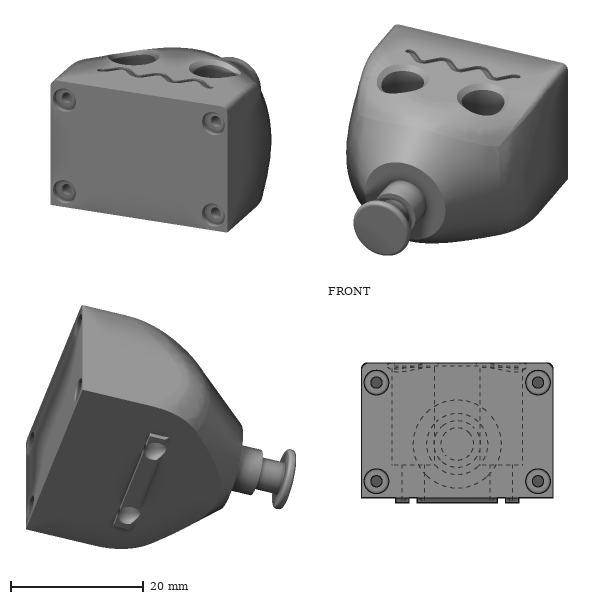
import cadquery as cq
import math

width = 29.0
height = 20.45
overall_length = 37.05
cover_thickness = 1.63
nose_y = 27.85
edge_radius = 1.0

axis_z = 8.15
nose_radius = 6.67
nose_flare = 0.843
shoulder_radius = 8.0
edge_rounding_end_y = 18.52

eye_x = 6.67
eye_y = 13.9
eye_hole_diameter = 3.4
eye_bore_diameter = 6.5
eye_bore_floor = 5.0
eye_rim = 0.75

groove_y = 7.4
groove_width = 1.0
groove_depth = 0.52
wave_length = 6.0
wave_height = 2.0
wave_count = 3
wave_slope = math.radians(45)

key_width = 18.67
key_height = 0.75
key_back_y = 12.3
key_front_y = 15.35
key_bevel = 0.7

screw_x = 12.23
screw_low_z = 2.52
screw_high_z = 17.45
screw_hole_diameter = 1.7
screw_head_diameter = 3.75
screw_head_depth = 1.0
screw_hole_end_y = 7.4

screw_places = [(x, z) for x in (-screw_x, screw_x) for z in (screw_low_z, screw_high_z)]

sleeve_diameter = 7.08
sleeve_end_y = 31.97
stem_diameter = 4.93
flange_diameter = 9.25
flange_thickness = 1.22
flange_rounding = 0.5
neck_rounding = 0.2

tolerance = 0.005


def rod(diameter, start_y, end_y, x=0.0, z=axis_z):
    """Cylinder along Y."""
    start = cq.Vector(x, start_y, z)
    cylinder = cq.Solid.makeCylinder(diameter / 2, end_y - start_y, start, cq.Vector(0, 1, 0))
    return cq.Workplane(cylinder)


def block(start_y, end_y):
    """Slice of the plain housing block, spanning the full width and height."""
    slab = cq.Workplane().box(width, end_y - start_y, height, centered=(True, False, False))
    return slab.translate((0, start_y, 0))


def longitudinal_top_edges(body):
    """The two edges between the top and the sides, starting from the rear end of the body."""
    rear_y = body.val().BoundingBox().ymin
    found = []
    for edge in body.edges().vals():
        box = edge.BoundingBox()
        at_rear = abs(box.ymin - rear_y) < tolerance
        if at_rear and box.ylen > tolerance and box.zmin > height / 2:
            found.append(edge)
    return body.newObject(found)


def make_shoulders():
    """Block cut to the nose cone, with large roundings where the cone meets the top and the sides."""
    length = nose_y - cover_thickness
    base_radius = nose_radius + nose_flare * length
    cone = cq.Solid.makeCone(
        base_radius, nose_radius, length, cq.Vector(0, cover_thickness, axis_z), cq.Vector(0, 1, 0)
    )
    seam_below = cone.rotate(cq.Vector(0, 0, axis_z), cq.Vector(0, 0.37, axis_z), 180)
    body = block(cover_thickness, nose_y).intersect(cq.Workplane(seam_below))
    curved_edges = body.edges("%HYPERBOLA").vals()
    above_floor = [edge for edge in curved_edges if edge.BoundingBox().zmax > tolerance]
    return body.newObject(above_floor).fillet(shoulder_radius)


def round_top_edges(body):
    """Round the top side edges up to where the two shoulders become tangent and the edge fades out."""
    rear = body.intersect(block(cover_thickness, edge_rounding_end_y))
    front = body.intersect(block(edge_rounding_end_y, nose_y))
    return front.union(longitudinal_top_edges(rear).fillet(edge_radius))


def wave_centerline():
    """Zigzag of straight flanks joined by tangent arcs, starting and ending in a trough."""
    half_wave = wave_length / 2
    sine = math.sin(wave_slope)
    cosine = math.cos(wave_slope)
    bend_radius = (half_wave * sine - wave_height * cosine) / (2 * (1 - cosine))
    arc_x = bend_radius * sine
    arc_y = bend_radius * (1 - cosine)
    mid_x = bend_radius * math.sin(wave_slope / 2)
    mid_y = bend_radius * (1 - math.cos(wave_slope / 2))

    x = -wave_count * half_wave
    trough_y = groove_y - wave_height / 2
    crest_y = groove_y + wave_height / 2
    path = cq.Workplane().moveTo(x, trough_y)
    for index in range(2 * wave_count):
        rising = index % 2 == 0
        start_y = trough_y if rising else crest_y
        end_y = crest_y if rising else trough_y
        up = 1 if rising else -1
        path = path.threePointArc((x + mid_x, start_y + up * mid_y), (x + arc_x, start_y + up * arc_y))
        path = path.lineTo(x + half_wave - arc_x, end_y - up * arc_y)
        x += half_wave
        path = path.threePointArc((x - mid_x, end_y - up * mid_y), (x, end_y))
    return path


def make_groove():
    band = wave_centerline().offset2D(groove_width / 2)
    return band.extrude(groove_depth).translate((0, 0, height - groove_depth))


def make_key():
    """Locating bar across the floor, bevelled toward the nose."""
    profile = [
        (key_back_y, 0),
        (key_front_y, 0),
        (key_front_y - key_bevel, -key_height),
        (key_back_y, -key_height),
    ]
    return cq.Workplane("YZ").polyline(profile).close().extrude(key_width / 2, both=True)


def cut_eye(body, x):
    """Through hole with a deep counterbore whose upper rim is chamfered."""
    bore = cq.Workplane().workplane(offset=eye_bore_floor).center(x, eye_y)
    body = body.cut(bore.circle(eye_bore_diameter / 2).extrude(height))
    reach = eye_bore_diameter / 2 + eye_rim
    around_rim = cq.selectors.BoxSelector(
        (x - reach, eye_y - reach, height / 2), (x + reach, eye_y + reach, height + reach), boundingbox=True
    )
    body = body.edges(around_rim).edges("not |Z").chamfer(eye_rim)
    hole = cq.Workplane().workplane(offset=-key_height).center(x, eye_y)
    return body.cut(hole.circle(eye_hole_diameter / 2).extrude(height))


def make_housing():
    body = round_top_edges(make_shoulders())
    body = body.union(make_key())
    for side in (-1, 1):
        body = cut_eye(body, side * eye_x)
    body = body.cut(make_groove())
    for x, z in screw_places:
        body = body.cut(rod(screw_hole_diameter, cover_thickness, screw_hole_end_y, x, z))
    return body


def make_cover():
    cover = longitudinal_top_edges(block(0, cover_thickness)).fillet(edge_radius)
    for x, z in screw_places:
        cover = cover.cut(rod(screw_hole_diameter, 0, cover_thickness, x, z))
        cover = cover.cut(rod(screw_head_diameter, 0, screw_head_depth, x, z))
    return cover


def make_sleeve():
    return rod(sleeve_diameter, nose_y, sleeve_end_y).cut(rod(stem_diameter, nose_y, sleeve_end_y))


def make_plunger():
    """Stem through the sleeve with a rounded flange at its end."""
    flange_y = overall_length - flange_thickness
    flange = rod(flange_diameter, flange_y, overall_length).edges().fillet(flange_rounding)
    plunger = flange.union(rod(stem_diameter, nose_y, flange_y))
    neck = plunger.edges(cq.selectors.RadiusNthSelector(1)).edges(">Y")
    return neck.fillet(neck_rounding)


housing = make_housing()
cover = make_cover()
sleeve = make_sleeve()
plunger = make_plunger()

result = cq.Compound.makeCompound([housing.val(), cover.val(), sleeve.val(), plunger.val()])